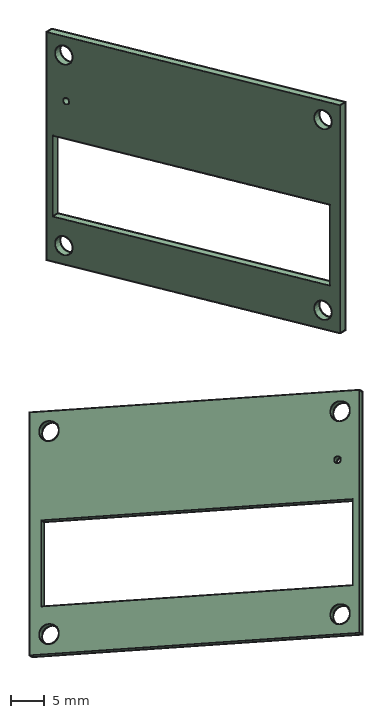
import cadquery as cq

plate_width = 51.1
plate_thickness = 1.5
plate_height = 36.65

mount_diameter = 3.0
mount_inset = 3.0

small_diameter = 1.0
small_from_left = 3.4
small_from_top = 10.3

window_width = 48.2
window_height = 13.0
window_from_left = 1.05
window_from_bottom = 7.25


def block(width, height, left, bottom):
    """Block through the plate thickness with the given lower left corner."""
    corner = (left, 0, bottom)
    return cq.Workplane("XY").box(width, plate_thickness, height, centered=False).translate(corner)


def through_pin(diameter, x, z):
    """Cylinder along Y that spans the plate thickness."""
    pin = cq.Workplane("XZ").center(x, z).circle(diameter / 2)
    return pin.extrude(-plate_thickness)


plate = block(plate_width, plate_height, 0, 0)
plate = plate.cut(block(window_width, window_height, window_from_left, window_from_bottom))

for x in (mount_inset, plate_width - mount_inset):
    for z in (mount_inset, plate_height - mount_inset):
        plate = plate.cut(through_pin(mount_diameter, x, z))

plate = plate.cut(through_pin(small_diameter, small_from_left, plate_height - small_from_top))

result = plate.translate((-plate_width / 2, -plate_thickness / 2, -plate_height / 2))